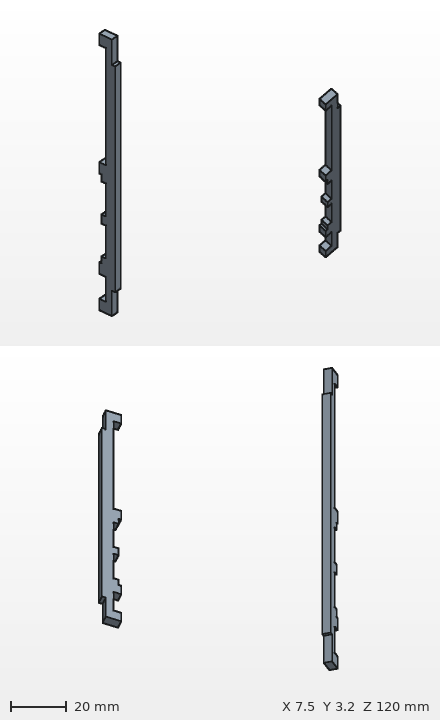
import cadquery as cq

width = 7.5
thickness = 3.2
length = 120.0

low_lug_depth = 1.0
spine_depth = 3.0
end_depth = 6.0

end_lug_length = 5.0
narrow_end_length = 11.0
clip_lug_length = 5.0
clip_step_length = 3.0
middle_lug_length = 4.0

clip_center_height = 40.0
clip_span = 48.5

left = -width / 2
bottom = -length / 2
clip_center = bottom + clip_center_height


def bar(depth_start, depth_end, z_center, z_length):
    """Full-thickness block between two depths, centred at a height."""
    depth_center = (depth_start + depth_end) / 2
    return cq.Workplane("XY").box(depth_end - depth_start, thickness, z_length).translate(
        (left + depth_center, 0, z_center)
    )


def make_spine():
    """Full-length strip with a wider right edge between its narrowed ends."""
    strip = bar(spine_depth, end_depth, 0, length)
    wide_edge = bar(spine_depth, width, 0, length - 2 * narrow_end_length)
    return strip.union(wide_edge)


def make_end_lug(side):
    """Lug flush with the top (side = 1) or bottom (side = -1) end."""
    z_center = side * (length - end_lug_length) / 2
    return bar(0, end_depth, z_center, end_lug_length)


def make_clip_lug(side):
    """Stepped lug above (side = 1) or below (side = -1) the middle lug, low step inward."""
    outer_offset = clip_span / 2
    tall_offset = outer_offset - clip_lug_length / 2
    full_length = clip_lug_length + clip_step_length
    full_offset = outer_offset - full_length / 2
    tall = bar(0, end_depth, clip_center + side * tall_offset, clip_lug_length)
    low = bar(low_lug_depth, end_depth, clip_center + side * full_offset, full_length)
    return tall.union(low)


result = make_spine()
for end_side in (-1, 1):
    result = result.union(make_end_lug(end_side))
    result = result.union(make_clip_lug(end_side))
result = result.union(bar(low_lug_depth, end_depth, clip_center, middle_lug_length))
result = result.clean()